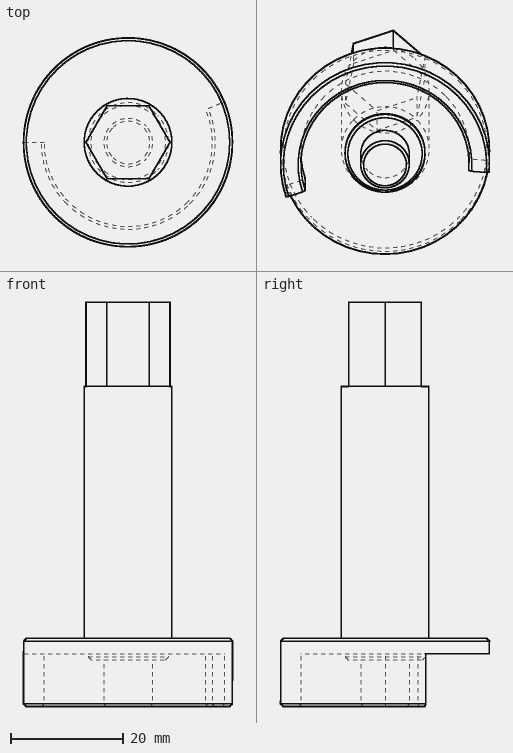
import cadquery as cq
import math

total_height = 72.2
hex_length = 15.0
shaft_length = 45.0
flange_thickness = 2.8
boss_height = 1.0

shaft_top = total_height - hex_length
flange_top = shaft_top - shaft_length
flange_bottom = flange_top - flange_thickness
boss_bottom = flange_bottom - boss_height

flange_diameter = 37.3
skirt_inner_diameter = 30.0
shaft_diameter = 15.7
boss_diameter = 14.3
pin_diameter = 8.7
hex_across_flats = 13
hex_across_corners = hex_across_flats / math.cos(math.radians(30))
edge_chamfer = 0.5

skirt_start_angle = 180
skirt_sweep = 203


def cylinder(diameter, bottom, top):
    return cq.Workplane("XY").workplane(offset=bottom).circle(diameter / 2).extrude(top - bottom)


def make_skirt():
    """Partial ring below the flange, with chamfered curved lower edges and plain ends."""
    outer = flange_diameter / 2
    inner = skirt_inner_diameter / 2
    profile = [
        (inner, flange_bottom),
        (inner, edge_chamfer),
        (inner + edge_chamfer, 0),
        (outer - edge_chamfer, 0),
        (outer, edge_chamfer),
        (outer, flange_bottom),
    ]
    ring = cq.Workplane("XZ").polyline(profile).close().revolve(skirt_sweep, (0, 0), (0, 1))
    return ring.rotate((0, 0, 0), (0, 0, 1), skirt_start_angle)


flange = cylinder(flange_diameter, flange_bottom, flange_top).faces(">Z").chamfer(edge_chamfer)
shaft = cylinder(shaft_diameter, flange_top, shaft_top)
boss = cylinder(boss_diameter, boss_bottom, flange_bottom).faces("<Z").chamfer(edge_chamfer)
pin = cylinder(pin_diameter, 0, boss_bottom).faces("<Z").chamfer(edge_chamfer)

hex_drive = (
    cq.Workplane("XY")
    .workplane(offset=shaft_top)
    .polygon(6, hex_across_corners)
    .extrude(hex_length)
)

result = flange.union(shaft).union(hex_drive).union(boss).union(pin).union(make_skirt())